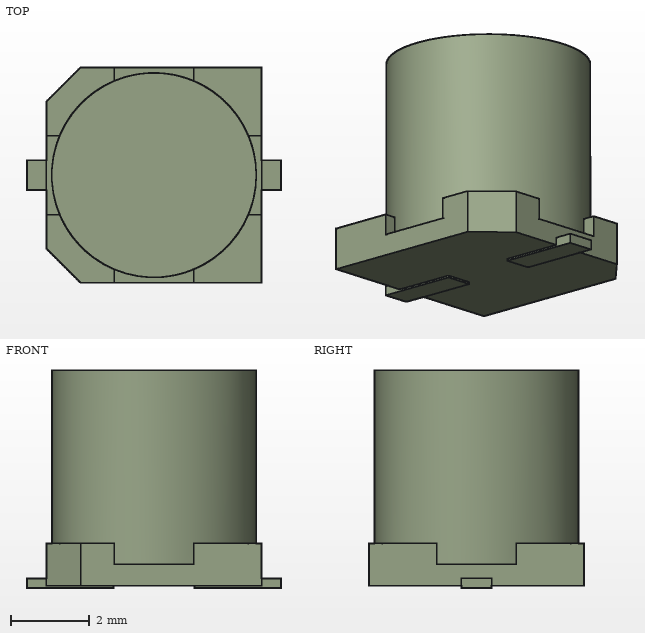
import cadquery as cq

total_length = 6.5
total_height = 5.57

can_diameter = 5.23

base_width = 5.51
base_thickness = 1.09
standoff = 0.05
corner_chamfer = 0.88

notch_width = 2.02
notch_depth = 0.54

terminal_width = 0.775
terminal_thickness = 0.25
terminal_gap = 2.07

base_top = standoff + base_thickness
notch_floor = base_top - notch_depth


def make_base():
    """Square plate, chamfered on the -X corners, notched across both axes."""
    plate = (
        cq.Workplane("XY")
        .workplane(offset=standoff)
        .rect(base_width, base_width)
        .extrude(base_thickness)
        .edges("|Z and <X")
        .chamfer(corner_chamfer)
    )
    floor = cq.Workplane("XY").workplane(offset=notch_floor)
    channel_x = floor.rect(base_width, notch_width).extrude(notch_depth)
    channel_y = floor.rect(notch_width, base_width).extrude(notch_depth)
    return plate.cut(channel_x).cut(channel_y)


def make_can():
    """Can rising from the notch floor to the top of the part."""
    return (
        cq.Workplane("XY")
        .workplane(offset=notch_floor)
        .circle(can_diameter / 2)
        .extrude(total_height - notch_floor)
    )


def make_terminal(side):
    """Flat terminal on the +X (side = 1) or -X (side = -1) side."""
    length = (total_length - terminal_gap) / 2
    center_x = side * (terminal_gap + length) / 2
    return (
        cq.Workplane("XY")
        .center(center_x, 0)
        .rect(length, terminal_width)
        .extrude(terminal_thickness)
    )


result = make_base().union(make_can())
for side in (-1, 1):
    result = result.union(make_terminal(side))